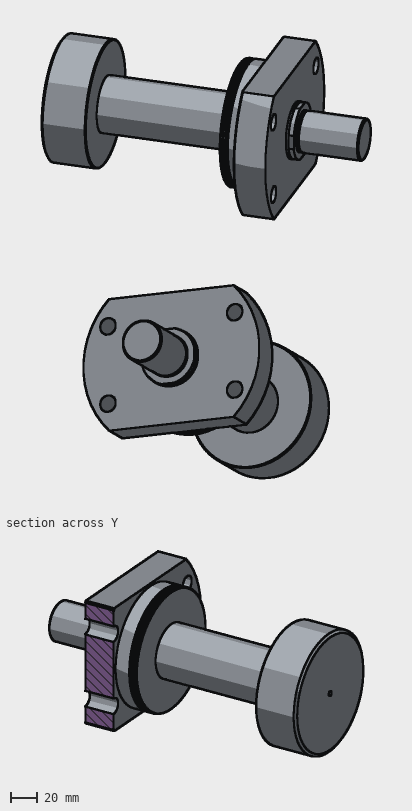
import cadquery as cq
import math


overall_length = 244.0
piston_length = 36.0
shank_end = 189.8
collar_end = 194.0
undercut_end = 196.0

piston_radius = 50.0
rod_radius = 22.5
collar_radius = 22.2
journal_radius = 16.3
undercut_radius = 15.9

piston_front_chamfer_length = 1.7
piston_front_chamfer_depth = 2.5
piston_rear_chamfer = 0.7
shank_end_chamfer_length = 0.7
undercut_chamfer = journal_radius - undercut_radius
journal_end_chamfer = 1.0

flat_count = 4
flat_distance = 21.5

centre_mouth_radius = 2.0
centre_pilot_radius = 1.0
centre_cone_length = (centre_mouth_radius - centre_pilot_radius) * math.sqrt(3)
centre_depth = 4.5

gland_start = 143.5
flange_start = 162.3
flange_end = 188.0

spigot_radius = 50.0
spigot_chamfer = 0.7
flange_radius = 73.5
flange_height = 104.0
flange_chamfer = 0.7

bolt_circle_radius = 61.0
bolt_hole_diameter = 13.0
bolt_angle = 30.0

groove_start = 146.0
groove_end = 150.0
groove_depth = 1.0
ring_start = 147.9
ring_end = 149.5
ring_chamfer = 0.2
groove_radius = spigot_radius - groove_depth


def revolve_profile(points):
    """Revolve a closed (x, radius) outline about the X axis."""
    return cq.Workplane("XY").polyline(points).close().revolve(360, (0, 0, 0), (1, 0, 0))


def tube(start, end, outer_radius, inner_radius):
    """Ring-shaped solid along the X axis."""
    sketch = cq.Workplane("YZ", origin=(start, 0, 0)).circle(outer_radius).circle(inner_radius)
    return sketch.extrude(end - start)


def centre_drilling():
    """Short pilot hole with a 60 degree countersink."""
    return revolve_profile([
        (0, 0),
        (0, centre_mouth_radius),
        (centre_cone_length, centre_pilot_radius),
        (centre_depth, centre_pilot_radius),
        (centre_depth, 0),
    ])


def cut_wrench_flats(body):
    """Mill equally spaced flats, square to Y and Z, along the collar."""
    length = collar_end - shank_end
    for index in range(flat_count):
        cutter = cq.Workplane("XY").box(
            length, 2 * rod_radius, rod_radius, centered=(False, True, False)
        )
        cutter = cutter.translate((shank_end, 0, flat_distance))
        body = body.cut(cutter.rotate((0, 0, 0), (1, 0, 0), index * 360 / flat_count))
    return body


def make_piston_rod():
    """Piston, rod, flatted collar, undercut and end journal turned from one piece."""
    body = revolve_profile([
        (0, 0),
        (0, piston_radius - piston_front_chamfer_depth),
        (piston_front_chamfer_length, piston_radius),
        (piston_length - piston_rear_chamfer, piston_radius),
        (piston_length, piston_radius - piston_rear_chamfer),
        (piston_length, rod_radius),
        (shank_end - shank_end_chamfer_length, rod_radius),
        (shank_end, collar_radius),
        (collar_end, collar_radius),
        (collar_end, journal_radius),
        (collar_end + undercut_chamfer, undercut_radius),
        (undercut_end, undercut_radius),
        (undercut_end + undercut_chamfer, journal_radius),
        (overall_length - journal_end_chamfer, journal_radius),
        (overall_length, journal_radius - journal_end_chamfer),
        (overall_length, 0),
    ])
    return cut_wrench_flats(body).cut(centre_drilling())


def make_flange():
    """Round flange, chamfered on its front rim, trimmed flat at top and bottom and drilled."""
    length = flange_end - flange_start
    flange = cq.Workplane("YZ", origin=(flange_start, 0, 0)).circle(flange_radius).extrude(length)
    flange = flange.faces("<X").chamfer(flange_chamfer)
    trim = cq.Workplane("XY").box(
        length, 2 * flange_radius, flange_height, centered=(False, True, True)
    )
    flange = flange.intersect(trim.translate((flange_start, 0, 0)))

    hole_y = bolt_circle_radius * math.cos(math.radians(bolt_angle))
    hole_z = bolt_circle_radius * math.sin(math.radians(bolt_angle))
    pattern = cq.Workplane("YZ", origin=(flange_start, 0, 0))
    pattern = pattern.rect(2 * hole_y, 2 * hole_z, forConstruction=True).vertices()
    holes = pattern.circle(bolt_hole_diameter / 2).extrude(length)
    return flange.cut(holes)


def make_gland():
    """Grooved spigot and bolting flange, bored to fit the rod."""
    spigot = cq.Workplane("YZ", origin=(gland_start, 0, 0)).circle(spigot_radius)
    spigot = spigot.extrude(flange_start - gland_start).faces("<X").chamfer(spigot_chamfer)
    groove = tube(groove_start, groove_end, spigot_radius + groove_depth, groove_radius)
    bore = cq.Workplane("YZ", origin=(gland_start, 0, 0)).circle(rod_radius)
    bore = bore.extrude(flange_end - gland_start)
    return spigot.cut(groove).union(make_flange()).cut(bore)


def make_seal_ring():
    """Ring flush with the spigot, chamfered on its front rim."""
    return revolve_profile([
        (ring_start, groove_radius),
        (ring_start, spigot_radius - ring_chamfer),
        (ring_start + ring_chamfer, spigot_radius),
        (ring_end, spigot_radius),
        (ring_end, groove_radius),
    ])


piston_rod = make_piston_rod()
gland = make_gland()
seal_ring = make_seal_ring()

result = cq.Compound.makeCompound([piston_rod.val(), gland.val(), seal_ring.val()])